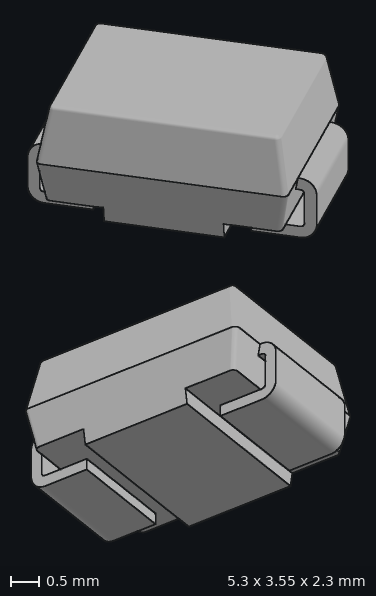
import cadquery as cq
import math

overall_length = 5.3
overall_height = 2.3

body_length = 4.61
body_width = 3.55
parting_z = 1.2
body_bottom_z = 0.405
draft_angle = 10.0
edge_radius = 0.1

pedestal_length = 2.205
pedestal_bottom_z = 0.1

lead_width = 2.105
lead_thickness = 0.23
lead_bend_radius = 0.3
foot_inner_x = 1.445
lead_embed_depth = 0.265


def tapered_block(height):
    """Block narrowing away from the parting plane; negative height goes down."""
    return (
        cq.Workplane("XY")
        .workplane(offset=parting_z)
        .rect(body_length, body_width)
        .extrude(height, taper=draft_angle)
    )


def upper_body():
    """Upper half with rounded corners and a rounded top rim."""
    return tapered_block(overall_height - parting_z).edges("not <Z").fillet(edge_radius)


def lower_body():
    """Lower half with rounded corners and a flat underside."""
    return tapered_block(body_bottom_z - parting_z).edges("not #Z").fillet(edge_radius)


def pedestal():
    """Foot with upright ends whose sides continue the draft of the lower body."""
    slope = math.tan(math.radians(draft_angle))
    half_top = body_width / 2 - slope * (parting_z - body_bottom_z)
    half_bottom = body_width / 2 - slope * (parting_z - pedestal_bottom_z)
    return (
        cq.Workplane("YZ")
        .polyline([
            (-half_bottom, pedestal_bottom_z),
            (half_bottom, pedestal_bottom_z),
            (half_top, body_bottom_z),
            (-half_top, body_bottom_z),
        ])
        .close()
        .extrude(pedestal_length / 2, both=True)
    )


def right_lead():
    """C-shaped lead leaving the body below the parting plane and folding under it."""
    outer_x = overall_length / 2
    root_x = body_length / 2 - lead_embed_depth
    inner_x = outer_x - lead_thickness
    inner_top_z = parting_z - lead_thickness
    inner_radius = lead_bend_radius - lead_thickness
    strip = (
        cq.Workplane("XZ")
        .polyline([
            (root_x, parting_z),
            (outer_x, parting_z),
            (outer_x, 0),
            (foot_inner_x, 0),
            (foot_inner_x, lead_thickness),
            (inner_x, lead_thickness),
            (inner_x, inner_top_z),
            (root_x, inner_top_z),
        ])
        .close()
        .extrude(lead_width / 2, both=True)
    )
    inner_corners = [(inner_x, 0, lead_thickness), (inner_x, 0, inner_top_z)]
    for corner in inner_corners:
        strip = strip.edges(cq.selectors.NearestToPointSelector(corner)).fillet(inner_radius)
    return strip.edges("|Y and >X").fillet(lead_bend_radius)


lead = right_lead()
result = (
    upper_body()
    .union(lower_body())
    .union(pedestal())
    .union(lead)
    .union(lead.mirror("YZ"))
)